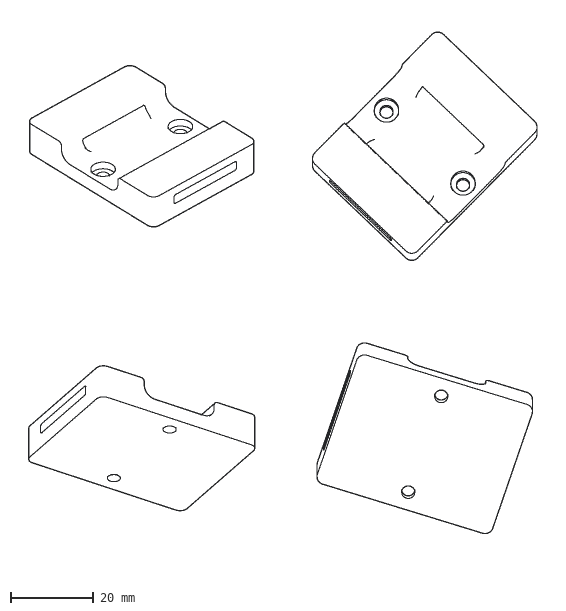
import cadquery as cq

length = 45
width = 35.0
height = 9
corner_radius = 2.02

channel_width = 20.0
floor_height = 4.0
channel_bottom_radius = 3.0
channel_lip_radius = 1.0

slot_width = 21.0
slot_height = 2.6
slot_corner_radius = 0.6

hole_diameter = 3.2
counterbore_diameter = 6.0
counterbore_depth = 2.0
hole_spacing = 26.0


def make_block():
    block = cq.Workplane("XY").box(length, width, height, centered=(True, True, False))
    return block.edges("|Z").fillet(corner_radius)


def make_channel():
    """Channel cutter with rounded floor corners and flared lips."""
    half = channel_width / 2
    lip = channel_lip_radius
    profile = (
        cq.Workplane("XZ")
        .moveTo(-half + channel_bottom_radius, floor_height)
        .lineTo(half - channel_bottom_radius, floor_height)
        .radiusArc((half, floor_height + channel_bottom_radius), -channel_bottom_radius)
        .lineTo(half, height - lip)
        .radiusArc((half + lip, height), lip)
        .lineTo(-half - lip, height)
        .radiusArc((-half, height - lip), lip)
        .lineTo(-half, floor_height + channel_bottom_radius)
        .radiusArc((-half + channel_bottom_radius, floor_height), -channel_bottom_radius)
        .close()
    )
    return profile.extrude(width / 2, both=True)


def make_slot():
    slot = cq.Workplane("XY").box(length, slot_width, slot_height, centered=(True, True, False))
    return slot.edges("|X").fillet(slot_corner_radius).translate((0, 0, floor_height))


def make_screw_hole_cutters(diameter, bottom):
    """Cylinders at both screw positions, from the bottom level up to the channel floor."""
    return (
        cq.Workplane("XY", origin=(0, 0, bottom))
        .pushPoints([(0, -hole_spacing / 2), (0, hole_spacing / 2)])
        .circle(diameter / 2)
        .extrude(floor_height - bottom)
    )


result = (
    make_block()
    .cut(make_channel())
    .cut(make_slot())
    .cut(make_screw_hole_cutters(hole_diameter, 0))
    .cut(make_screw_hole_cutters(counterbore_diameter, floor_height - counterbore_depth))
)